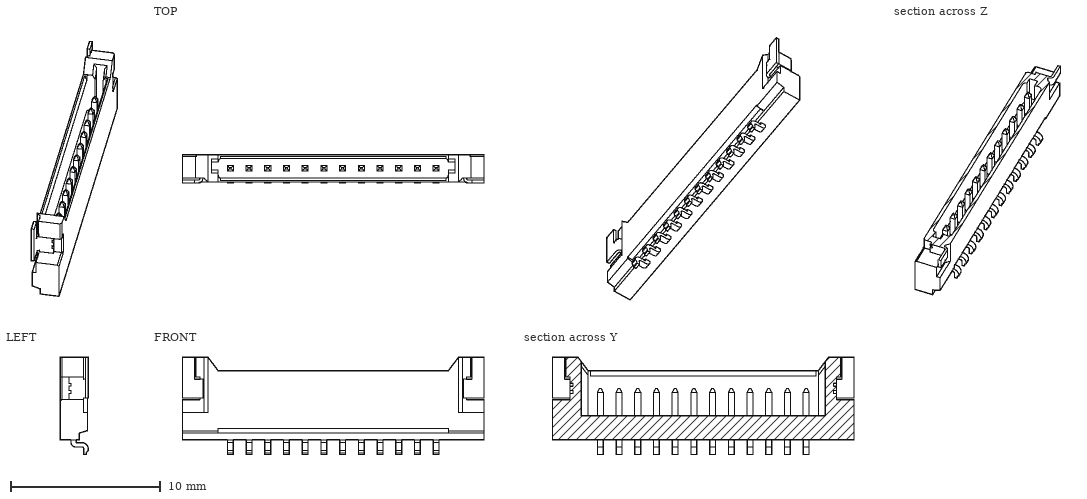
import cadquery as cq


length = 20.15
half_length = length / 2
body_depth = 1.83
body_height = 5.52

wall_drop = 0.9
wall_top = body_height - wall_drop
tower_inner = half_length - 1.71
slope_foot = half_length - 2.4

foot_depth = 1.29
relief_top = 0.45
end_relief_start = 0.6
middle_relief_start = 0.75
middle_ledge_depth = 1.45
end_ledge_depth = 1.8

tower_outer = half_length - 0.89
notch_wall = half_length - 1.37
notch_bottom = 2.68
notch_top = 4.2
back_bevel = 0.12
shoulder_bevel = 0.08
recess_depth = 1.57
recess_bottom = 1.81
recess_wall_back = half_length - 1.45

cavity_floor = 1.61
cavity_back = 0.26
cavity_front = recess_depth
cavity_corner = 0.2
lead_in_width = 0.15
lead_in_height = 0.36
pocket_end = half_length - 1.93
pocket_back = 0.48
pocket_front = 1.03
pocket_bevel_width = 0.18
pocket_bevel_height = 0.32

contact_count = 12
contact_pitch = 1.25
contact_width = 0.4
contact_back = 0.73
contact_front = 1.09
contact_top = 3.43
tip_bevel = 0.15
tip_height = 0.28
lead_upper = -0.18
lead_lower = -0.48
lead_heel = 0.32
foot_back = 1.57
foot_end_front = 1.75
foot_inner_radius = 0.1
foot_outer_radius = 0.45
foot_taper_top = -0.7
foot_taper_end = -0.87
lead_bottom = -0.99

tab_front = 1.9
tab_thickness = 0.2
tab_bottom = 2.78
tab_arm_top = 4.05
tab_plate_inner = half_length - 0.83
tab_leg_inner = notch_wall
tab_leg_outer = tab_leg_inner + tab_thickness
tab_leg_back = 0.6
bend_inner_radius = 0.1
bend_outer_radius = bend_inner_radius + tab_thickness
bend_centre_x = tab_leg_outer + bend_inner_radius
bend_centre_depth = tab_front - bend_outer_radius
barb_gap_depth = 0.12
barb_gap_height = 0.18
barb_gap_bottoms = (3.1, 3.59)


def block(x0, x1, depth0, depth1, z0, z1):
    """Box between two X values, two depths measured from the back face, and two heights."""
    box = cq.Workplane("XY").box(x1 - x0, depth1 - depth0, z1 - z0, centered=False)
    return box.translate((x0, -depth1, z0))


def along_x(points, x0, x1):
    """Extrude a (Y, Z) outline from x0 to x1."""
    return cq.Workplane("YZ").workplane(offset=x0).polyline(points).close().extrude(x1 - x0)


def both_ends(shape):
    """A shape modelled at the +X end together with its mirror image."""
    return shape.union(shape.mirror("YZ"))


def housing_blank():
    outline = [
        (-half_length, 0),
        (half_length, 0),
        (half_length, body_height),
        (tower_inner, body_height),
        (slope_foot, wall_top),
        (-slope_foot, wall_top),
        (-tower_inner, body_height),
        (-half_length, body_height),
    ]
    return cq.Workplane("XZ").polyline(outline).close().extrude(body_depth)


def front_relief(start_height, ledge_depth, x0, x1):
    """Undercut that runs level to ledge_depth, then slopes back to the foot."""
    outline = [
        (-body_depth, start_height),
        (-ledge_depth, start_height),
        (-foot_depth, relief_top),
        (-foot_depth, 0),
        (-body_depth, 0),
    ]
    return along_x(outline, x0, x1)


def tower_cuts():
    """Everything removed from the +X end of the housing outside the cavity."""
    head_side = block(tower_outer, half_length, 0, body_depth, notch_bottom, body_height)
    notch = block(notch_wall, half_length, 0, body_depth, notch_bottom, notch_top)
    recess = (
        cq.Workplane("XY")
        .workplane(offset=recess_bottom)
        .polyline([
            (half_length, -recess_depth),
            (recess_wall_back, -recess_depth),
            (tower_inner, -body_depth),
            (half_length, -body_depth),
        ])
        .close()
        .extrude(body_height - recess_bottom)
    )
    shoulder = along_x(
        [(0, notch_bottom), (-back_bevel, notch_bottom), (0, notch_bottom - shoulder_bevel)],
        notch_wall,
        half_length,
    )
    cuts = head_side.union(notch).union(recess).union(shoulder)
    for corner_x, z0, z1 in (
        (tower_outer, notch_top, body_height),
        (notch_wall, notch_bottom, notch_top),
    ):
        bevel = (
            cq.Workplane("XY")
            .workplane(offset=z0)
            .polyline([(corner_x, 0), (corner_x, -back_bevel), (corner_x - back_bevel, 0)])
            .close()
            .extrude(z1 - z0)
        )
        cuts = cuts.union(bevel)
    return cuts


def plug_cavity():
    main = block(-slope_foot, slope_foot, cavity_back, cavity_front, cavity_floor, body_height)
    main = main.edges("|Z").fillet(cavity_corner)
    lead_in = along_x(
        [
            (-cavity_back, wall_top - lead_in_height),
            (-cavity_back + lead_in_width, wall_top),
            (-cavity_front - lead_in_width, wall_top),
            (-cavity_front, wall_top - lead_in_height),
        ],
        -slope_foot + lead_in_width,
        slope_foot - lead_in_width,
    )
    pockets = block(-pocket_end, pocket_end, pocket_back, pocket_front, cavity_floor, body_height)
    return main.union(lead_in).union(pockets)


def pocket_bevel(wall_depth, outward):
    """Bevel on one rim of the +X pocket, parallel to the tower slope; outward is the signed widening."""
    slope = wall_drop / (tower_inner - slope_foot)
    rim_end = body_height - slope * (tower_inner - pocket_end)

    def section(rim):
        return [
            (-wall_depth, rim - pocket_bevel_height),
            (-wall_depth, rim),
            (-wall_depth - outward, rim),
        ]

    return (
        cq.Workplane("YZ")
        .workplane(offset=slope_foot)
        .polyline(section(wall_top))
        .close()
        .workplane(offset=pocket_end - slope_foot)
        .polyline(section(rim_end))
        .close()
        .loft(ruled=True)
    )


def contact():
    """One contact centred on X = 0: straight pin above, S-bent solder lead below."""
    half_width = contact_width / 2
    pin = block(-half_width, half_width, contact_back, contact_front, 0, contact_top)
    pin = pin.faces(">Z").chamfer(tip_height, tip_bevel)
    lead = (
        cq.Workplane("YZ")
        .workplane(offset=-half_width)
        .moveTo(-contact_back, 0)
        .lineTo(-contact_back, lead_lower + lead_heel)
        .radiusArc((-contact_back - lead_heel, lead_lower), lead_heel)
        .lineTo(-foot_back + foot_inner_radius, lead_lower)
        .radiusArc((-foot_back, lead_lower - foot_inner_radius), -foot_inner_radius)
        .lineTo(-foot_back, lead_bottom)
        .lineTo(-foot_end_front, lead_bottom)
        .lineTo(-foot_end_front, foot_taper_end)
        .lineTo(-tab_front, foot_taper_top)
        .lineTo(-tab_front, lead_upper - foot_outer_radius)
        .radiusArc((-tab_front + foot_outer_radius, lead_upper), foot_outer_radius)
        .lineTo(-contact_front, lead_upper)
        .lineTo(-contact_front, 0)
        .close()
        .extrude(contact_width)
    )
    return pin.union(lead)


def solder_tab():
    """Tab at the +X end: front plate, rounded bend and barbed leg held in the housing."""
    plate_back = tab_front - tab_thickness
    plate = block(tab_plate_inner, half_length, plate_back, tab_front, tab_bottom, body_height)
    arm = (
        cq.Workplane("XY")
        .workplane(offset=tab_bottom)
        .moveTo(half_length, -tab_front)
        .lineTo(bend_centre_x, -tab_front)
        .radiusArc((tab_leg_inner, -bend_centre_depth), bend_outer_radius)
        .lineTo(tab_leg_inner, -recess_depth)
        .lineTo(tab_leg_outer, -recess_depth)
        .lineTo(tab_leg_outer, -bend_centre_depth)
        .radiusArc((bend_centre_x, -plate_back), -bend_inner_radius)
        .lineTo(half_length, -plate_back)
        .close()
        .extrude(tab_arm_top - tab_bottom)
    )
    leg = block(tab_leg_inner, tab_leg_outer, tab_leg_back, recess_depth, notch_bottom, notch_top)
    for z0 in barb_gap_bottoms:
        gap_front = tab_leg_back + barb_gap_depth
        leg = leg.cut(
            block(tab_leg_inner, tab_leg_outer, tab_leg_back, gap_front, z0, z0 + barb_gap_height)
        )
    return plate.union(arm).union(leg)


housing = (
    housing_blank()
    .cut(front_relief(end_relief_start, end_ledge_depth, -half_length, half_length))
    .cut(front_relief(middle_relief_start, middle_ledge_depth, -slope_foot, slope_foot))
    .cut(both_ends(tower_cuts()))
    .cut(plug_cavity())
    .cut(both_ends(pocket_bevel(pocket_back, -pocket_bevel_width)))
    .cut(both_ends(pocket_bevel(pocket_front, pocket_bevel_width)))
)

result = housing.union(both_ends(solder_tab()))
for index in range(contact_count):
    contact_x = (index - (contact_count - 1) / 2) * contact_pitch
    result = result.union(contact().translate((contact_x, 0, 0)))